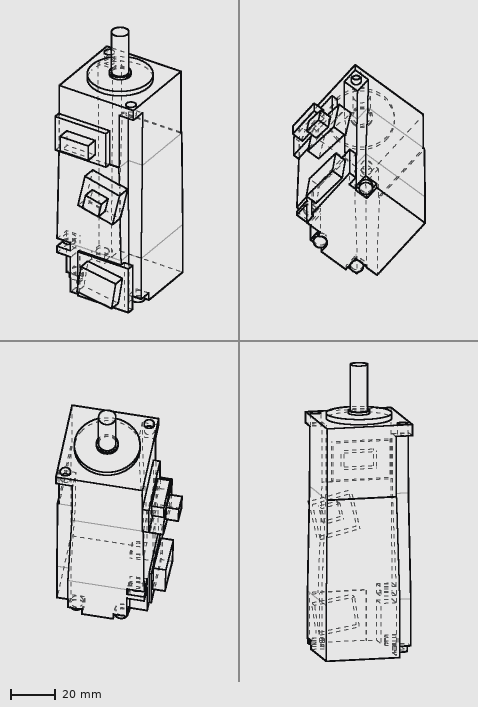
import cadquery as cq


TOTAL_HEIGHT = 132.5
COVER_TOP = 25.8
MIDDLE_TOP = 74.6
FLANGE_THICKNESS = 5.2
FLANGE_TOP = 107.6
FLANGE_BOTTOM = FLANGE_TOP - FLANGE_THICKNESS

FLANGE_SIZE = 40.0
FLANGE_HALF = FLANGE_SIZE / 2
PILOT_DIAMETER = 30.0
PILOT_HEIGHT = 2.4
COLLAR_DIAMETER = 10.0
COLLAR_HEIGHT = 1.2
SHAFT_DIAMETER = 8.0
MOUNT_HOLE_DIAMETER = 4.6
MOUNT_HOLE_OFFSET = 16.3

COVER_LEFT = -20.7
COVER_RIGHT = 20.5
COVER_FRONT = -21.0
COVER_BACK = 20.7
MIDDLE_FRONT_TOP = -20.3

NOTCH_AT_FLANGE = (12.3, 12.3)
NOTCH_AT_MIDDLE_TOP = (12.3, 12.6)
NOTCH_AT_COVER = (13.9, 14.3)
CUT_REACH = 33.1

CORNER_WALL_X = -13.4
CORNER_WALL_Y = -13.0
SHELF_BOTTOM = 18.5
SHELF_TOP = 21.9
CORNER_CUT_TOP = 26.1
CORNER_SCREW_X = -16.7
CORNER_SCREW_Y = -16.8
CORNER_SCREW_RADIUS = 2.8
CORNER_SCREW_BOTTOM = 23.7

POCKET_DEPTH = 3.8
POCKET_RADIUS = 3.2
SCREW_HEAD_RADIUS = 3.0
SCREW_HEAD_BOTTOM = 1.0
CORNER_POCKET_X = -17.5
CORNER_POCKET_Y = -9.8
CORNER_POCKET_WALL_X = -15.4
NOTCH_POCKET_X = -16.7
NOTCH_POCKET_Y = 11.0

PLUG_HEIGHT = 5.7
BRAKE_PLATE_FRONT = -23.0
BRAKE_PLATE_LEFT = -20.3
BRAKE_PLATE_RIGHT = 7.2
BRAKE_PLATE_TOP = 92.5
BRAKE_PLUG_WIDTH = 15.2
BRAKE_PLUG_LENGTH = 7.7
BRAKE_PLUG_X = -6.4
BRAKE_PLUG_Z = 83.1
POWER_ANGLE = 12.8
POWER_X = 5.7
POWER_Z = 58.3
POWER_PLATE_FRONT = -26.9
POWER_PLATE_WIDTH = 19.1
POWER_PLATE_LENGTH = 17.1
POWER_PLUG_WIDTH = 8.7
POWER_PLUG_LENGTH = 7.4
SENSOR_PLATE_FRONT = -22.0
SENSOR_PLATE_BACK = -18.4
SENSOR_PLATE_LEFT = -8.7
SENSOR_PLATE_RIGHT = 18.5
SENSOR_PLATE_TOP = 23.5
SENSOR_PLUG_ANGLE = 9.0
SENSOR_PLUG_X = 4.9
SENSOR_PLUG_Z = 11.8
SENSOR_PLUG_WIDTH = 19.0
SENSOR_PLUG_LENGTH = 14.2


def block(x_range, y_range, z_range):
    """Box spanning the given (low, high) ranges."""
    sizes = [high - low for low, high in (x_range, y_range, z_range)]
    return cq.Workplane("XY").box(*sizes, centered=False).translate((x_range[0], y_range[0], z_range[0]))


def tapered_block(bottom, bottom_z, top, top_z):
    """Straight-sided solid between two rectangles given as (x0, x1, y0, y1)."""
    wires = []
    for (x0, x1, y0, y1), z in ((bottom, bottom_z), (top, top_z)):
        corners = [(x0, y0, z), (x1, y0, z), (x1, y1, z), (x0, y1, z)]
        wires.append(cq.Wire.makePolygon([cq.Vector(*corner) for corner in corners], close=True))
    return cq.Workplane(obj=cq.Solid.makeLoft(wires, True))


def disc(x, y, radius, bottom_z, top_z):
    """Upright cylinder."""
    return cq.Workplane("XY", origin=(x, y, bottom_z)).circle(radius).extrude(top_z - bottom_z)


def connector_block(x, z, width, length, front_y, back_y, angle=0.0):
    """Block on the front side, turned clockwise by angle as seen from the front."""
    plate = block((-width / 2, width / 2), (front_y, back_y), (-length / 2, length / 2))
    return plate.rotate((0, 0, 0), (0, 1, 0), angle).translate((x, 0, z))


def half_turn(shape):
    """Same shape turned to the opposite corner of the motor."""
    return shape.rotate((0, 0, 0), (0, 0, 1), 180)


def housing():
    cover = block((COVER_LEFT, COVER_RIGHT), (COVER_FRONT, COVER_BACK), (0, COVER_TOP))
    middle = tapered_block(
        (COVER_LEFT, COVER_RIGHT, COVER_FRONT, COVER_BACK), COVER_TOP,
        (-FLANGE_HALF, FLANGE_HALF, MIDDLE_FRONT_TOP, COVER_BACK), MIDDLE_TOP,
    )
    flange_span = (-FLANGE_HALF, FLANGE_HALF)
    front_housing = block(flange_span, flange_span, (MIDDLE_TOP, FLANGE_TOP))
    return cover.union(middle).union(front_housing)


def corner_notch():
    """Full-height notch below the flange at the (-X, +Y) corner."""

    def section(walls):
        wall_x, wall_y = walls
        return (-CUT_REACH, -wall_x, wall_y, CUT_REACH)

    upper = tapered_block(
        section(NOTCH_AT_MIDDLE_TOP), MIDDLE_TOP, section(NOTCH_AT_FLANGE), FLANGE_BOTTOM
    )
    middle = tapered_block(
        section(NOTCH_AT_COVER), COVER_TOP, section(NOTCH_AT_MIDDLE_TOP), MIDDLE_TOP
    )
    lower = tapered_block(section(NOTCH_AT_COVER), 0, section(NOTCH_AT_COVER), COVER_TOP)
    return upper.union(middle).union(lower)


def shaft_end():
    pilot_top = FLANGE_TOP + PILOT_HEIGHT
    collar_top = pilot_top + COLLAR_HEIGHT
    pilot = disc(0, 0, PILOT_DIAMETER / 2, FLANGE_TOP, pilot_top)
    collar = disc(0, 0, COLLAR_DIAMETER / 2, pilot_top, collar_top)
    shaft = disc(0, 0, SHAFT_DIAMETER / 2, collar_top, TOTAL_HEIGHT)
    return pilot.union(collar).union(shaft)


def mount_hole():
    return disc(
        -MOUNT_HOLE_OFFSET, MOUNT_HOLE_OFFSET, MOUNT_HOLE_DIAMETER / 2, FLANGE_BOTTOM, FLANGE_TOP
    )


def cover_corner_cuts():
    """Cut-outs above and below the shelf at the (-X, -Y) corner."""
    x_range = (-CUT_REACH, CORNER_WALL_X)
    y_range = (-CUT_REACH, CORNER_WALL_Y)
    below = block(x_range, y_range, (0, SHELF_BOTTOM))
    above = block(x_range, y_range, (SHELF_TOP, CORNER_CUT_TOP))
    return below.union(above)


def corner_screw():
    return disc(
        CORNER_SCREW_X, CORNER_SCREW_Y, CORNER_SCREW_RADIUS, CORNER_SCREW_BOTTOM, CORNER_CUT_TOP
    )


def corner_pocket():
    """Round pocket opening to the -X side and into the corner cut-out."""
    depth = (0, POCKET_DEPTH)
    inner_y = CORNER_POCKET_Y + POCKET_RADIUS
    bore = disc(CORNER_POCKET_X, CORNER_POCKET_Y, POCKET_RADIUS, *depth)
    side_opening = block((-CUT_REACH, CORNER_POCKET_X), (CORNER_WALL_Y, inner_y), depth)
    front_opening = block((-CUT_REACH, CORNER_POCKET_WALL_X), (CORNER_WALL_Y, CORNER_POCKET_Y), depth)
    return bore.union(side_opening).union(front_opening)


def notch_pocket():
    """Square-cornered pocket opening to the -X side and into the (-X, +Y) notch."""
    _, notch_wall_y = NOTCH_AT_COVER
    inner_x = NOTCH_POCKET_X + POCKET_RADIUS
    inner_y = NOTCH_POCKET_Y - POCKET_RADIUS
    return block((-CUT_REACH, inner_x), (inner_y, notch_wall_y), (0, POCKET_DEPTH))


def screw_head(x, y):
    return disc(x, y, SCREW_HEAD_RADIUS, SCREW_HEAD_BOTTOM, POCKET_DEPTH)


def brake_connector():
    plate = block(
        (BRAKE_PLATE_LEFT, BRAKE_PLATE_RIGHT),
        (BRAKE_PLATE_FRONT, -FLANGE_HALF),
        (MIDDLE_TOP, BRAKE_PLATE_TOP),
    )
    plug = connector_block(
        BRAKE_PLUG_X, BRAKE_PLUG_Z, BRAKE_PLUG_WIDTH, BRAKE_PLUG_LENGTH,
        BRAKE_PLATE_FRONT - PLUG_HEIGHT, BRAKE_PLATE_FRONT,
    )
    return plate.union(plug)


def power_connector():
    plate = connector_block(
        POWER_X, POWER_Z, POWER_PLATE_WIDTH, POWER_PLATE_LENGTH,
        POWER_PLATE_FRONT, -FLANGE_HALF, POWER_ANGLE,
    )
    plug = connector_block(
        POWER_X, POWER_Z, POWER_PLUG_WIDTH, POWER_PLUG_LENGTH,
        POWER_PLATE_FRONT - PLUG_HEIGHT, POWER_PLATE_FRONT, POWER_ANGLE,
    )
    return plate.union(plug)


def sensor_connector():
    plate = block(
        (SENSOR_PLATE_LEFT, SENSOR_PLATE_RIGHT),
        (SENSOR_PLATE_FRONT, SENSOR_PLATE_BACK),
        (0, SENSOR_PLATE_TOP),
    )
    plug = connector_block(
        SENSOR_PLUG_X, SENSOR_PLUG_Z, SENSOR_PLUG_WIDTH, SENSOR_PLUG_LENGTH,
        SENSOR_PLATE_FRONT - PLUG_HEIGHT, SENSOR_PLATE_FRONT, SENSOR_PLUG_ANGLE,
    )
    return plate.union(plug)


motor = housing().union(shaft_end()).cut(cover_corner_cuts()).cut(corner_pocket())
for feature in (corner_notch(), mount_hole(), notch_pocket()):
    motor = motor.cut(feature).cut(half_turn(feature))

notch_screw = screw_head(NOTCH_POCKET_X, NOTCH_POCKET_Y)
screws = [
    corner_screw(),
    screw_head(CORNER_POCKET_X, CORNER_POCKET_Y),
    notch_screw,
    half_turn(notch_screw),
]
connectors = [brake_connector(), power_connector(), sensor_connector()]
for added in screws + connectors:
    motor = motor.union(added)

result = motor